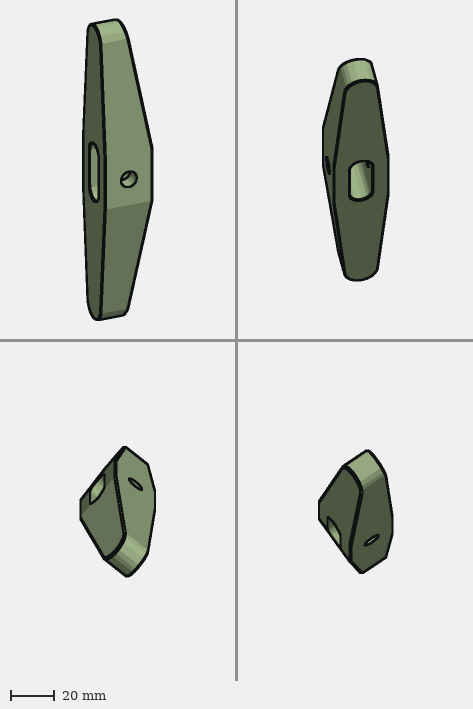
import cadquery as cq
import math

length = 150.0
width = 26.0
depth = 24.0

middle_half = 13.3

end_radius = 8.0
end_depth = 13.2

slot_width = 10.5
slot_length = 28.5
cross_hole_diameter = 7.8

front_chamfer = 0.5
back_chamfer = 0.7

half_length = length / 2
half_width = width / 2
front_y = -depth / 2
back_y = depth / 2


def middle_block():
    """Rectangular bar bounding the middle stretch, with its long back edges chamfered."""
    return cq.Workplane("XY").box(width, depth, length).edges("|Z and >Y").chamfer(back_chamfer)


def tapered_block():
    """Bar with flanks and back narrowing to a round upper end, chamfered along the back rim.

    The flanks and the back slope run on past the middle down to the lower end plane.
    """
    center_z = half_length - end_radius
    rise = center_z - middle_half
    reach = math.hypot(half_width, rise)
    lean = math.atan2(half_width, rise) - math.asin(end_radius / reach)
    tangent_x = end_radius * math.cos(lean)
    tangent_z = center_z + end_radius * math.sin(lean)
    foot_x = half_width + (middle_half + half_length) * math.tan(lean)

    slope = (depth - end_depth) / (half_length - middle_half)
    end_y = front_y + end_depth
    foot_y = end_y + slope * length

    outline = (
        cq.Workplane("XZ", origin=(0, front_y, 0))
        .moveTo(foot_x, -half_length)
        .lineTo(tangent_x, tangent_z)
        .threePointArc((0, half_length), (-tangent_x, tangent_z))
        .lineTo(-foot_x, -half_length)
        .close()
        .extrude(front_y - foot_y)
    )
    profile = (
        cq.Workplane("YZ")
        .polyline([
            (front_y, -half_length),
            (foot_y, -half_length),
            (end_y, half_length),
            (front_y, half_length),
        ])
        .close()
        .extrude(foot_x, both=True)
    )
    block = outline.intersect(profile)
    sloping_back = [face for face in block.faces("%PLANE").vals() if face.normalAt().y > 0.5]
    rim = block.newObject(sloping_back).edges("not <Z")
    return rim.chamfer(back_chamfer)


upper_taper = tapered_block()
lower_taper = upper_taper.mirror("XY")
body = middle_block().intersect(upper_taper).intersect(lower_taper)

slot = (
    cq.Workplane("XZ", origin=(0, back_y, 0))
    .slot2D(slot_length, slot_width, 90)
    .extrude(depth)
)
cross_hole = (
    cq.Workplane("YZ").circle(cross_hole_diameter / 2).extrude(half_width, both=True)
)

body = body.cut(slot).faces("<Y").edges().chamfer(front_chamfer)
result = body.cut(cross_hole)